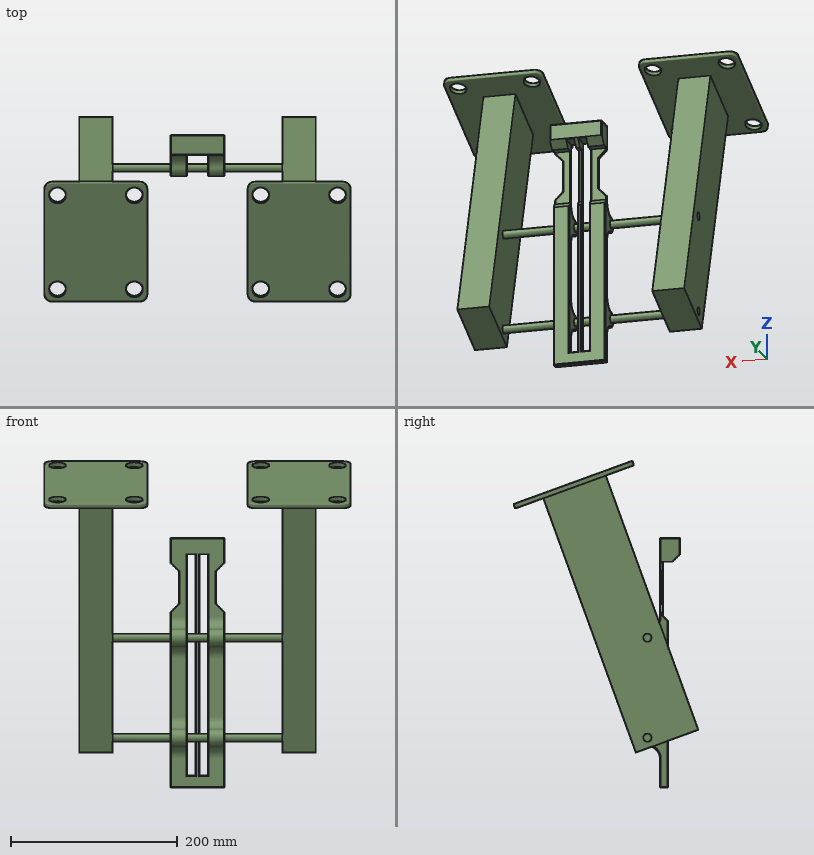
import cadquery as cq
import math


ROD_DIAMETER = 10.0
ROD_SPACING = 120.0
ROD_HEIGHTS = (0, ROD_SPACING)

LEAN_ANGLE = 20
LEG_SPACING = 244.0
LEG_WIDTH = 40.0
LEG_DEPTH = 80.0
LEG_LENGTH = 324.8
LEG_BOTTOM_BACK_Y = 61.0
LEG_BOTTOM_BACK_Z = 9.5
PLATE_WIDTH = 124.0
PLATE_LENGTH = 152.2
PLATE_THICKNESS = 6.0
PLATE_CORNER_RADIUS = 10.0
PLATE_EDGE_RADIUS = 1.0
PLATE_HOLE_DIAMETER = 20.0
PLATE_HOLE_SPACING_X = 92.0
PLATE_HOLE_SPACING_Y = 120.0

SLIDE_WIDTH = 65.0
SLIDE_HEIGHT = 300.0
SLIDE_THICKNESS = 10.0
SLIDE_BOTTOM_Z = -60.0
SLIDE_EDGE_CHAMFER = 1.0
FACE_TO_ROD = 15.0
HEAD_DEPTH = 24.7
HEAD_HEIGHT = 29.0
HEAD_CHAMFER = 10.0
NECK_THICKNESS = 4.0
NECK_WIDTH = 45.0
NECK_THIN_END = 94.0
NECK_SIDE_START = 30.0
NECK_SIDE_END = 90.0
ARM_WIDTH = 20.0
SLOT_TOP_MARGIN = 20.0
SLOT_BOTTOM_MARGIN = 15.0
RIB_WIDTH = 5.0
BOSS_RADIUS = 10.2

SIDES = (-1, 1)
SLOT_WIDTH = (SLIDE_WIDTH - RIB_WIDTH) / 2 - ARM_WIDTH
SLIDE_TOP_Z = SLIDE_BOTTOM_Z + SLIDE_HEIGHT
SLOT_HEIGHT = SLIDE_HEIGHT - SLOT_TOP_MARGIN - SLOT_BOTTOM_MARGIN
SLOT_CENTER_Z = SLIDE_BOTTOM_Z + SLOT_BOTTOM_MARGIN + SLOT_HEIGHT / 2
ROD_LENGTH = LEG_SPACING + LEG_WIDTH


def make_rod(z, length=ROD_LENGTH):
    """A round rod along X, ending flush with the outer sides of the legs."""
    return cq.Workplane("YZ", origin=(-length / 2, 0, z)).circle(ROD_DIAMETER / 2).extrude(length)


def drill_for_rods(body):
    for z in ROD_HEIGHTS:
        body = body.cut(make_rod(z))
    return body


def make_leg(center_x):
    """One leg with its plate: drawn upright, tilted about its lower back edge, then moved into place."""
    bar = cq.Workplane("XY").box(LEG_WIDTH, LEG_DEPTH, LEG_LENGTH, centered=(True, True, False))
    plate = (
        cq.Workplane("XY", origin=(0, 0, LEG_LENGTH))
        .rect(PLATE_WIDTH, PLATE_LENGTH)
        .extrude(PLATE_THICKNESS)
        .edges("|Z")
        .fillet(PLATE_CORNER_RADIUS)
        .faces("<Z or >Z")
        .edges()
        .fillet(PLATE_EDGE_RADIUS)
    )
    plate = (
        plate.faces(">Z").workplane()
        .rect(PLATE_HOLE_SPACING_X, PLATE_HOLE_SPACING_Y, forConstruction=True)
        .vertices()
        .hole(PLATE_HOLE_DIAMETER)
    )
    leg = bar.union(plate).translate((0, -LEG_DEPTH / 2, 0))
    leg = leg.rotate((0, 0, 0), (1, 0, 0), LEAN_ANGLE)
    return drill_for_rods(leg.translate((center_x, LEG_BOTTOM_BACK_Y, LEG_BOTTOM_BACK_Z)))


def slide_bar():
    """The slide's side profile: bar, thin neck and head."""
    front = FACE_TO_ROD
    bar_back = front + SLIDE_THICKNESS
    neck_back = front + NECK_THICKNESS
    head_back = front + HEAD_DEPTH
    thin_end_z = SLIDE_TOP_Z - NECK_THIN_END
    head_bottom_z = SLIDE_TOP_Z - HEAD_HEIGHT
    profile = [
        (front, SLIDE_BOTTOM_Z),
        (bar_back, SLIDE_BOTTOM_Z),
        (bar_back, thin_end_z - (SLIDE_THICKNESS - NECK_THICKNESS)),
        (neck_back, thin_end_z),
        (neck_back, head_bottom_z),
        (head_back - HEAD_CHAMFER, head_bottom_z),
        (head_back, head_bottom_z + HEAD_CHAMFER),
        (head_back, SLIDE_TOP_Z),
        (front, SLIDE_TOP_Z),
    ]
    return cq.Workplane("YZ").polyline(profile).close().extrude(SLIDE_WIDTH / 2, both=True)


def neck_side_cut(side):
    """The tapered notch that narrows the neck on one side."""
    outer_x = side * SLIDE_WIDTH / 2
    inner_x = side * NECK_WIDTH / 2
    taper = abs(outer_x - inner_x)
    top_z = SLIDE_TOP_Z - NECK_SIDE_START
    bottom_z = SLIDE_TOP_Z - NECK_SIDE_END
    notch = [(outer_x, top_z), (inner_x, top_z - taper), (inner_x, bottom_z + taper), (outer_x, bottom_z)]
    return cq.Workplane("XZ").polyline(notch).close().extrude(-2 * (FACE_TO_ROD + HEAD_DEPTH))


def make_boss(side, z):
    """A round-nosed boss that flares into the front face of one arm of the slide."""
    flare = FACE_TO_ROD
    reach = BOSS_RADIUS + flare
    diagonal = flare * math.sqrt(0.5)
    arm_center_x = side * (SLIDE_WIDTH - ARM_WIDTH) / 2
    return (
        cq.Workplane("YZ", origin=(arm_center_x, 0, z))
        .moveTo(flare, -reach)
        .threePointArc((diagonal, diagonal - reach), (0, -BOSS_RADIUS))
        .threePointArc((-BOSS_RADIUS, 0), (0, BOSS_RADIUS))
        .threePointArc((diagonal, reach - diagonal), (flare, reach))
        .close()
        .extrude(ARM_WIDTH / 2, both=True)
    )


def slot_cut(side):
    """One of the two long slots that separate the arms from the middle rib."""
    center_x = side * (RIB_WIDTH + SLOT_WIDTH) / 2
    through = 4 * HEAD_DEPTH
    return cq.Workplane("XY").box(SLOT_WIDTH, through, SLOT_HEIGHT).translate((center_x, 0, SLOT_CENTER_Z))


def slide_edges_to_break():
    """Upright edges, boss outlines, and the edges around both ends of the slide and the slots' lower ends."""
    half_slots = RIB_WIDTH / 2 + SLOT_WIDTH
    far_y = 2 * HEAD_DEPTH
    slot_end_z = SLOT_CENTER_Z - SLOT_HEIGHT / 2
    slot_end = cq.selectors.BoxSelector(
        (-half_slots, -far_y, slot_end_z - SLIDE_EDGE_CHAMFER),
        (half_slots, far_y, slot_end_z + SLIDE_EDGE_CHAMFER),
    )
    across_slot_end = cq.StringSyntaxSelector("|X") & slot_end
    return cq.StringSyntaxSelector("|Z or %CIRCLE or <Z or >Z") + across_slot_end


def make_slide():
    slide = slide_bar()
    for side in SIDES:
        slide = slide.cut(neck_side_cut(side)).cut(slot_cut(side))
        for z in ROD_HEIGHTS:
            slide = slide.union(make_boss(side, z))
    slide = slide.edges(slide_edges_to_break()).chamfer(SLIDE_EDGE_CHAMFER)
    return drill_for_rods(slide)


legs = [make_leg(side * LEG_SPACING / 2) for side in SIDES]
rods = [make_rod(z) for z in ROD_HEIGHTS]
slide = make_slide()

result = cq.Compound.makeCompound(
    [leg.val() for leg in legs] + [rod.val() for rod in rods] + [slide.val()]
)